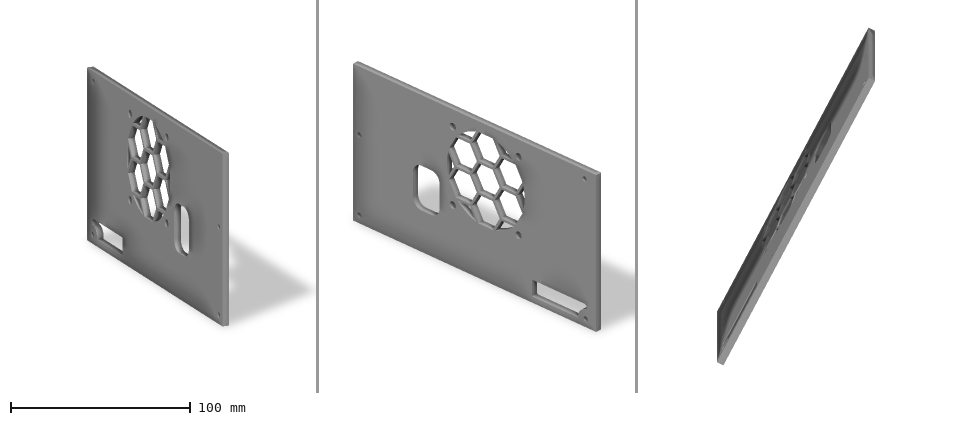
import cadquery as cq
import math

LENGTH = 185.0
THICKNESS = 4.0
HEIGHT = 100.1
RIGHT_EDGE_LEAN = 0.2

MOUNT_DIAMETER = 3.1
LEFT_LOWER_HOLE = (8.0, 5.2)
LEFT_UPPER_HOLE = (8.9, 94.2)
RIGHT_HOLE_X = 180.0
RIGHT_UPPER_HOLE_Z = 56.3
RIGHT_LOWER_HOLE_Z = 5.2

FAN_X = 84.0
FAN_Z = 64.0
FAN_DIAMETER = 59.2
FAN_HOLE_SPACING = 50.0
FAN_HOLE_DIAMETER = 4.6
CELL_PITCH = 20.0
CELL_WALL = 1.61

SOCKET_X = 129.2
SOCKET_Z = 40.7
SOCKET_WIDTH = 20.2
SOCKET_HEIGHT = 28.5
SOCKET_RADIUS = 6.5

SLOT_LEFT = 7.2
SLOT_RIGHT = 48.7
SLOT_BOTTOM = 3.9
SLOT_TOP = 14.6
SLOT_END_RADIUS = 2.0
SLOT_CORNER_RADIUS = 0.7
HOLE_RIM_RADIUS = 5.7


def sketch_plane():
    """Front face of the plate, with local x along X and local y along Z."""
    return cq.Workplane("XZ")


def through(profile):
    """Extrude a closed profile through the plate thickness, toward +Y."""
    return profile.extrude(-THICKNESS)


def drill(points, diameter):
    return through(sketch_plane().pushPoints(points).circle(diameter / 2))


def plate():
    corners = [(0, 0), (LENGTH, 0), (LENGTH - RIGHT_EDGE_LEAN, HEIGHT), (0, HEIGHT)]
    return through(sketch_plane().polyline(corners).close())


def honeycomb():
    """Openings between the guard walls, trimmed to the fan circle."""
    column_pitch = CELL_PITCH * math.sqrt(3) / 2
    cell_corner_diameter = (CELL_PITCH - CELL_WALL) * 2 / math.sqrt(3)
    centers = []
    for column in range(-2, 3):
        stagger = CELL_PITCH / 2 if column % 2 else 0
        for row in range(-2, 3):
            centers.append((FAN_X + column * column_pitch, FAN_Z + row * CELL_PITCH + stagger))
    cells = through(sketch_plane().pushPoints(centers).polygon(6, cell_corner_diameter))
    return cells.intersect(drill([(FAN_X, FAN_Z)], FAN_DIAMETER))


def fan_holes():
    offset = FAN_HOLE_SPACING / 2
    points = [(FAN_X + i * offset, FAN_Z + j * offset) for i in (-1, 1) for j in (-1, 1)]
    return drill(points, FAN_HOLE_DIAMETER)


def box_opening(left, right, bottom, top):
    center = ((left + right) / 2, (bottom + top) / 2)
    return through(sketch_plane().pushPoints([center]).rect(right - left, top - bottom))


def socket_opening():
    opening = box_opening(
        SOCKET_X - SOCKET_WIDTH / 2,
        SOCKET_X + SOCKET_WIDTH / 2,
        SOCKET_Z - SOCKET_HEIGHT / 2,
        SOCKET_Z + SOCKET_HEIGHT / 2,
    )
    return opening.edges("|Y").fillet(SOCKET_RADIUS)


def slot():
    """Rectangle with a round upper left end and a rim of material kept around the hole."""
    end_center = (SLOT_LEFT + SLOT_END_RADIUS, SLOT_TOP - SLOT_END_RADIUS)
    body = box_opening(end_center[0], SLOT_RIGHT, SLOT_BOTTOM, SLOT_TOP)
    body = body.edges("|Y and >X").fillet(SLOT_CORNER_RADIUS)
    round_end = drill([end_center], 2 * SLOT_END_RADIUS)
    return body.union(round_end).cut(drill([LEFT_LOWER_HOLE], 2 * HOLE_RIM_RADIUS))


mount_points = [
    LEFT_LOWER_HOLE,
    LEFT_UPPER_HOLE,
    (RIGHT_HOLE_X, RIGHT_LOWER_HOLE_Z),
    (RIGHT_HOLE_X, RIGHT_UPPER_HOLE_Z),
]

result = plate()
result = result.cut(drill(mount_points, MOUNT_DIAMETER))
result = result.cut(honeycomb())
result = result.cut(fan_holes())
result = result.cut(socket_opening())
result = result.cut(slot())